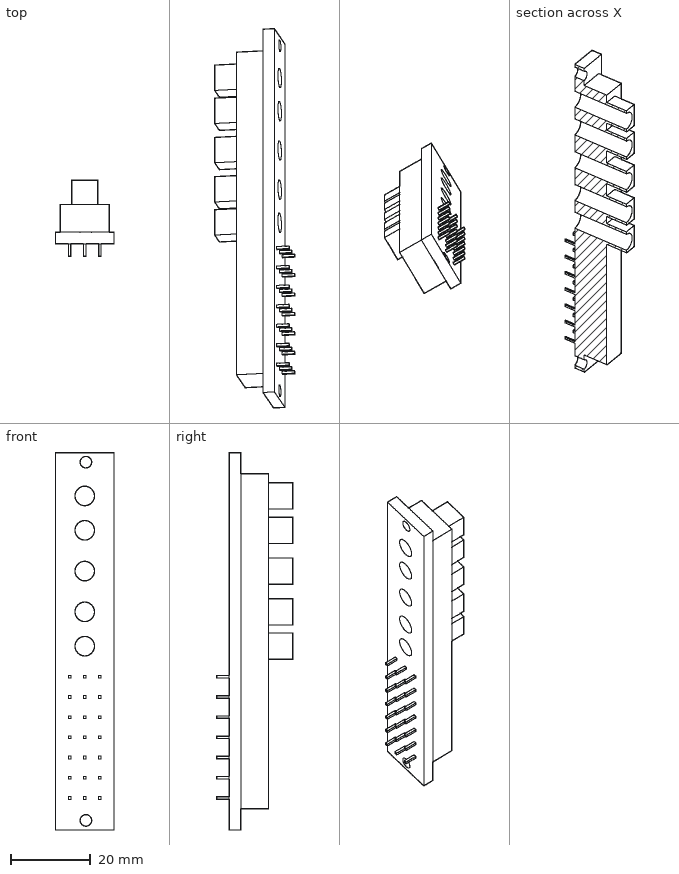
import cadquery as cq

plate_width = 14.7
plate_thickness = 2.9
plate_height = 94.75

body_width = 12.3
body_depth = 7.0
body_height = 84.1

socket_side = 6.6
socket_length = 6.1
bore_diameter = 4.8
middle_socket_z = 17.6
inner_socket_pitch = 10.2
outer_socket_pitch = 8.6

mount_diameter = 2.8
mount_spacing = 89.9
mount_x = 0.3

pin_side = 0.7
pin_length = 3.1
pin_columns = 3
pin_rows = 7
pin_column_pitch = 3.8
pin_rows_span = 30.4
pin_top_z = -8.9

front_y = -plate_thickness
body_back_y = body_depth
socket_back_y = body_back_y + socket_length

pin_row_pitch = pin_rows_span / (pin_rows - 1)
outer_socket_offset = inner_socket_pitch + outer_socket_pitch
socket_offsets = (
    outer_socket_offset,
    inner_socket_pitch,
    0,
    -inner_socket_pitch,
    -outer_socket_offset,
)
socket_points = [(0, middle_socket_z + offset) for offset in socket_offsets]
mount_points = [(mount_x, side * mount_spacing / 2) for side in (-1, 1)]
pin_points = [
    ((column - (pin_columns - 1) / 2) * pin_column_pitch, pin_top_z - row * pin_row_pitch)
    for column in range(pin_columns)
    for row in range(pin_rows)
]


def sketch_plane(y):
    """Workplane in X and Z at the given Y; positive extrusion runs toward -Y."""
    return cq.Workplane("XZ", origin=(0, y, 0))


def block(width, height, back_y, depth, points):
    """Rectangular blocks running forward from back_y at the given X, Z points."""
    return sketch_plane(back_y).pushPoints(points).rect(width, height).extrude(depth)


def cylinders(diameter, back_y, length, points):
    """Round bars running forward from back_y at the given X, Z points."""
    return sketch_plane(back_y).pushPoints(points).circle(diameter / 2).extrude(length)


plate = block(plate_width, plate_height, 0, plate_thickness, [(0, 0)])
body = block(body_width, body_height, body_back_y, body_depth, [(0, 0)])
sockets = block(socket_side, socket_side, socket_back_y, socket_length, socket_points)
pins = block(pin_side, pin_side, front_y, pin_length, pin_points)

bores = cylinders(bore_diameter, socket_back_y, socket_back_y - front_y, socket_points)
mount_holes = cylinders(mount_diameter, 0, plate_thickness, mount_points)

result = plate.union(body).union(sockets).cut(bores).cut(mount_holes).union(pins)